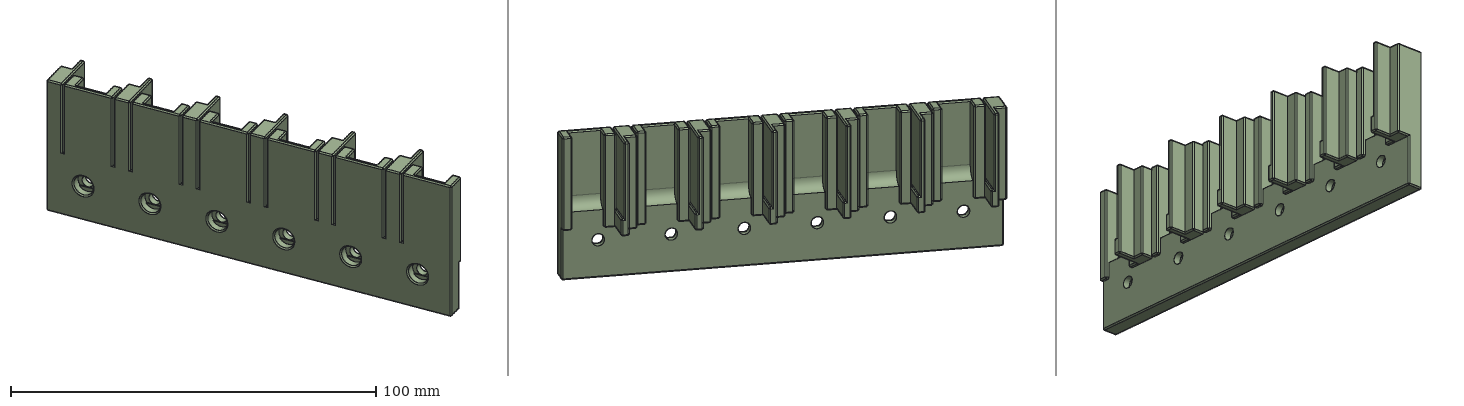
import cadquery as cq

LENGTH = 124.4
DEPTH = 14.0
HEIGHT = 41.8
EDGE_CHAMFER = 0.4

BAY_COUNT = 6
SLOT_WIDTH = 0.44
BAY_PITCH = (LENGTH + SLOT_WIDTH) / BAY_COUNT

BASE_THICKNESS = 5.0
LEDGE_Z = 19.7

POST_BOTTOM_Z = 14.7
BLOCK_WIDTH = 4.9
BLOCK_DEPTH = 8.8
FIN_THICKNESS = 1.5

FINGER_START = BLOCK_WIDTH + SLOT_WIDTH
FINGER_END = BAY_PITCH - SLOT_WIDTH
FINGER_THICKNESS = 1.5
FINGER_ROOT_RADIUS = BASE_THICKNESS - FINGER_THICKNESS
LEFT_RIB_WIDTH = 3.4
RIGHT_RIB_WIDTH = 2.7
RIB_DEPTH = 6.1

HOLE_COUNT = 6
FIRST_HOLE_X = 11.3
LAST_HOLE_X = 114.1
HOLE_PITCH = (LAST_HOLE_X - FIRST_HOLE_X) / (HOLE_COUNT - 1)
HOLE_Z = 11.0
HOLE_DIAMETER = 3.5
COUNTERBORE_DIAMETER = 6.0
COUNTERBORE_DEPTH = 2.5
STEP_DEPTH = 0.4


def box(x_limits, y_limits, z_limits):
    """Axis-aligned box given by its limits along each axis."""
    limits = (x_limits, y_limits, z_limits)
    size = [end - start for start, end in limits]
    corner = tuple(start for start, end in limits)
    return cq.Workplane("XY").box(*size, centered=False).translate(corner)


def post(x_start, x_end, depth, top=HEIGHT):
    """Upright bar with chamfered edges, from the front face back to the given depth."""
    bar = box((x_start, x_end), (0, depth), (POST_BOTTOM_Z, top))
    return bar.edges().chamfer(EDGE_CHAMFER)


def base_plate():
    """Thick lower plate, chamfered all round except along its top."""
    plate = box((0, LENGTH), (0, BASE_THICKNESS), (0, LEDGE_Z))
    return plate.edges("|Z or <Z").chamfer(EDGE_CHAMFER)


def finned_block():
    """Block with a deep fin along its right side; the foot of the fin reaches under the slot."""
    fin_start = BLOCK_WIDTH - FIN_THICKNESS
    foot_end = FINGER_START + EDGE_CHAMFER
    return (
        post(0, BLOCK_WIDTH, BLOCK_DEPTH)
        .union(post(fin_start, BLOCK_WIDTH, DEPTH))
        .union(post(fin_start, foot_end, DEPTH, top=LEDGE_Z))
    )


def ribbed_finger():
    """Thin finger between two ribs, with a concave round where it meets the ledge."""
    pocket_start = FINGER_START + LEFT_RIB_WIDTH
    pocket_end = FINGER_END - RIGHT_RIB_WIDTH
    root = (
        cq.Workplane("YZ", origin=(pocket_start, 0, 0))
        .moveTo(FINGER_THICKNESS, LEDGE_Z)
        .lineTo(BASE_THICKNESS, LEDGE_Z)
        .radiusArc((FINGER_THICKNESS, LEDGE_Z + FINGER_ROOT_RADIUS), FINGER_ROOT_RADIUS)
        .close()
        .extrude(pocket_end - pocket_start)
    )
    return (
        post(FINGER_START, FINGER_END, FINGER_THICKNESS)
        .union(post(FINGER_START, pocket_start, RIB_DEPTH))
        .union(post(pocket_end, FINGER_END, RIB_DEPTH))
        .union(root)
    )


def y_cylinder(diameter, length):
    """Cylinder along Y, starting at the front face."""
    return cq.Workplane("XZ").circle(diameter / 2).extrude(-length)


def screw_hole():
    """Through hole with a flat-sided step and a chamfered counterbore at the front."""
    radius = COUNTERBORE_DIAMETER / 2
    step_end = COUNTERBORE_DEPTH + STEP_DEPTH
    half_step = HOLE_DIAMETER / 2
    step_limits = box((-radius, radius), (0, step_end), (-half_step, half_step))
    step = y_cylinder(COUNTERBORE_DIAMETER, step_end).intersect(step_limits)
    mouth = cq.Workplane("XY").add(
        cq.Solid.makeCone(
            radius + EDGE_CHAMFER,
            radius,
            EDGE_CHAMFER,
            pnt=cq.Vector(0, 0, 0),
            dir=cq.Vector(0, 1, 0),
        )
    )
    return (
        y_cylinder(HOLE_DIAMETER, BASE_THICKNESS)
        .union(step)
        .union(y_cylinder(COUNTERBORE_DIAMETER, COUNTERBORE_DEPTH))
        .union(mouth)
    )


result = base_plate()
bay = finned_block().union(ribbed_finger())
for index in range(BAY_COUNT):
    result = result.union(bay.translate((index * BAY_PITCH, 0, 0)))

hole = screw_hole()
for index in range(HOLE_COUNT):
    result = result.cut(hole.translate((FIRST_HOLE_X + index * HOLE_PITCH, 0, HOLE_Z)))